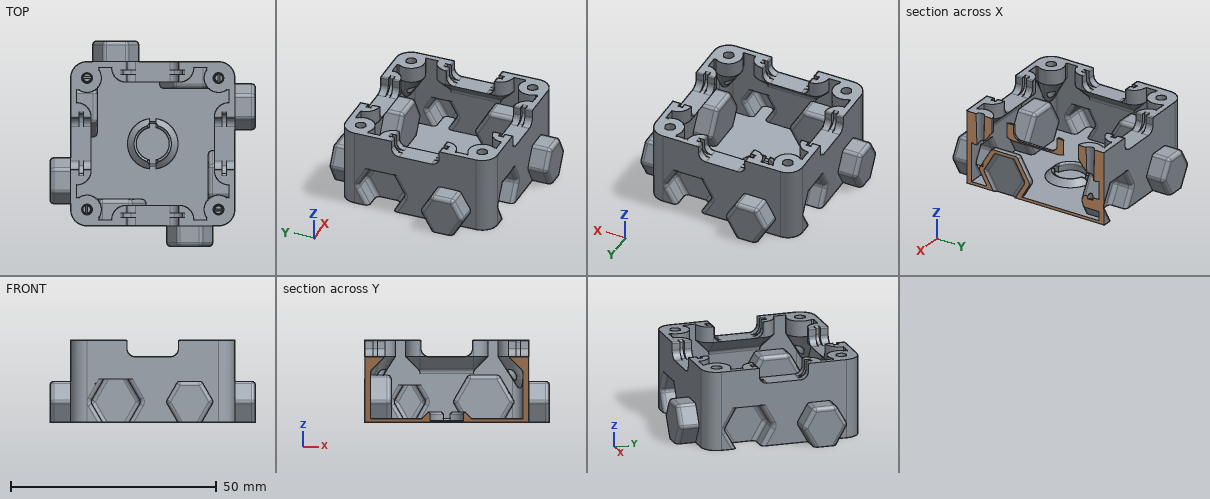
import cadquery as cq
import math

BOX_SIZE = 40.0
BOX_HEIGHT = 20.0
CORNER_RADIUS = 4.0
WALL = 1.5
FLOOR = 0.9
HALF_BOX = BOX_SIZE / 2
HALF_CAVITY = HALF_BOX - WALL

RIM_DEPTH = 4.0
LEDGE_Z = BOX_HEIGHT - RIM_DEPTH
NOTCH_HALF_WIDTH = 6.25
NOTCH_FLOOR_RADIUS = 2.0
NOTCH_LIP_RADIUS = 0.3
PAD_DEPTH = 3.5
PAD_CENTER = 6.5
PAD_BLEND_RADIUS = 1.5
GROOVE_EXTRA = 1.0
GROOVE_LIP_RADIUS = 0.5
GROOVE_SETBACK = 2.0
GROOVE_WIDTH = 1.15

POST_CENTER = 16.0
POST_RADIUS = 3.5
POST_WEB = 2.9
POST_WEB_EDGE = POST_CENTER - POST_WEB
POST_WEB_DEPTH = 2.5
POST_TIP_Z = 7.0
POST_TIP_SIZE = 0.25
SCREW_TOP_DIAMETER = 2.6
SCREW_DIAMETER = 1.75
SCREW_DEPTH = 14.0

HEX_OFFSET = 9.0
HEX_Z = 5.0
HEX_ROUND = 1.0
PLUG_APOTHEM = 5.0
PLUG_LENGTH = 5.0
SOCKET_APOTHEM = 5.3
SOCKET_ROOF_Z = 10.5
SOCKET_DEPTH = 5.0
HOLLOW_APOTHEM = 3.4
HOLLOW_ROOF_Z = 9.15
HOLLOW_DEPTH = 5.5
SHELL_APOTHEM = 6.5
SHELL_DEPTH = SOCKET_DEPTH + WALL

RING_BASE_RADIUS = 6.15
RING_TOP_RADIUS = 4.55
RING_LIP = 0.55
RING_HEIGHT = RING_BASE_RADIUS - RING_TOP_RADIUS
RING_BORE_RADIUS = RING_TOP_RADIUS - RING_LIP
RING_SLOT_WIDTH = 1.65
RING_SLOT_FLARE = 0.5
DISH_RADIUS = 5.45
DISH_DEPTH = 0.5


def block(x0, x1, y0, y1, z0, z1):
    return cq.Workplane("XY").box(x1 - x0, y1 - y0, z1 - z0, centered=False).translate((x0, y0, z0))


def on_four_sides(shape):
    """The shape, made for the -Y side, repeated on all four sides."""
    turned = shape
    for quarter in (1, 2, 3):
        turned = turned.union(shape.rotate((0, 0, 0), (0, 0, 1), 90 * quarter))
    return turned


def rounded_box(size, height, radius, z):
    return cq.Workplane("XY").workplane(offset=z).rect(size, size).extrude(height).edges("|Z").fillet(radius)


def hexagon(apothem, x, open_ends=()):
    """Flat-topped hexagon; sides run to a point above (+1) or below (-1) at the open ends."""
    corner = apothem * 2 / math.sqrt(3)
    points = [(x - corner, HEX_Z)]
    for end in (1, -1):
        if end in open_ends:
            points.append((x, HEX_Z + 2 * end * apothem))
        else:
            points.append((x - end * corner / 2, HEX_Z + end * apothem))
            points.append((x + end * corner / 2, HEX_Z + end * apothem))
        if end == 1:
            points.append((x + corner, HEX_Z))
    return points


def prism(points, y_outer, y_inner):
    return cq.Workplane("XZ", origin=(0, y_outer, 0)).polyline(points).close().extrude(y_outer - y_inner)


def hex_plug():
    face = -HALF_BOX - PLUG_LENGTH
    plug = prism(hexagon(PLUG_APOTHEM, HEX_OFFSET, (-1,)), -HALF_CAVITY, face)
    plug = plug.edges("|Y or <Y").fillet(HEX_ROUND)
    return plug.intersect(block(-BOX_SIZE, BOX_SIZE, face, 0, 0, BOX_HEIGHT))


def socket_shell():
    """Wall around a socket, standing into the box."""
    inner = -HALF_BOX + SHELL_DEPTH
    shell = prism(hexagon(SHELL_APOTHEM, -HEX_OFFSET), inner, -HALF_BOX + 0.5)
    return shell.edges("|Y or >Y").fillet(HEX_ROUND)


def hex_recess(apothem, depth, bottom_z, roof_z):
    """Recess running +Y from y = 0, with a rounded end and a flared mouth under a flat roof."""
    pocket = prism(hexagon(apothem, 0, (1, -1)), depth, -0.5)
    pocket = pocket.edges("|Y or >Y").fillet(HEX_ROUND)
    outside = block(-BOX_SIZE, BOX_SIZE, -PLUG_LENGTH, 0, -BOX_SIZE, BOX_SIZE)
    flared = outside.union(pocket)
    reach = HALF_BOX
    mouth = cq.selectors.BoxSelector((-reach, -0.05, -reach), (reach, 0.05, reach))
    flared = flared.edges(mouth).fillet(HEX_ROUND)
    return flared.intersect(block(-HEX_OFFSET, HEX_OFFSET, 0, depth, bottom_z, roof_z))


def socket_cut():
    """Pocket in the outer face that receives a plug."""
    recess = hex_recess(SOCKET_APOTHEM, SOCKET_DEPTH, 0, SOCKET_ROOF_Z)
    return recess.translate((-HEX_OFFSET, -HALF_BOX, 0))


def plug_hollow():
    """Recess that hollows a plug from inside the box."""
    recess = hex_recess(HOLLOW_APOTHEM, HOLLOW_DEPTH, FLOOR, HOLLOW_ROOF_Z)
    return recess.mirror("XZ").translate((HEX_OFFSET, -HALF_CAVITY, 0))


def notch_pad():
    """Pad behind a notch: straight beside the notch, tapering back into the wall below it."""
    apex = LEDGE_Z - PAD_DEPTH
    half_bend = math.radians(22.5)
    tangent = PAD_BLEND_RADIUS * math.tan(half_bend)
    blend_start = tangent * math.sqrt(0.5)
    blend_middle = PAD_BLEND_RADIUS * (1 - math.cos(half_bend))
    blend_middle_z = apex - tangent + PAD_BLEND_RADIUS * math.sin(half_bend)
    section = (
        cq.Workplane("YZ")
        .moveTo(0, BOX_HEIGHT)
        .lineTo(PAD_DEPTH, BOX_HEIGHT)
        .lineTo(PAD_DEPTH, LEDGE_Z)
        .lineTo(blend_start, apex + blend_start)
        .threePointArc((blend_middle, blend_middle_z), (0, apex - tangent))
        .close()
    )
    pad = section.extrude(PAD_CENTER, both=True)
    end = section.toPending().revolve(90, (0, 0, 0), (0, 1, 0)).translate((-PAD_CENTER, 0, 0))
    pad = pad.union(end).union(end.mirror("YZ"))
    return pad.translate((0, -HALF_CAVITY, 0))


def notch_cut(half_width, lip_radius, y_outer, y_inner):
    """U-shaped cut with rounded lips and rounded floor corners."""
    diagonal = 1 - math.sqrt(0.5)
    r = NOTCH_FLOOR_RADIUS
    top = BOX_HEIGHT
    lip = lip_radius * diagonal
    bend = r * diagonal
    profile = (
        cq.Workplane("XZ", origin=(0, y_inner, 0))
        .moveTo(half_width + lip_radius, top)
        .threePointArc((half_width + lip, top - lip), (half_width, top - lip_radius))
        .lineTo(half_width, LEDGE_Z + r)
        .threePointArc((half_width - bend, LEDGE_Z + bend), (half_width - r, LEDGE_Z))
        .lineTo(r - half_width, LEDGE_Z)
        .threePointArc((bend - half_width, LEDGE_Z + bend), (-half_width, LEDGE_Z + r))
        .lineTo(-half_width, top - lip_radius)
        .threePointArc((-half_width - lip, top - lip), (-half_width - lip_radius, top))
        .close()
    )
    return profile.extrude(y_inner - y_outer)


def screw_post():
    """Post in the (-X, -Y) corner, its underside tapering back into the corner."""
    drop = POST_TIP_Z - LEDGE_Z
    tip_size = WALL + POST_TIP_SIZE
    tip_center = tip_size / 2 - HALF_BOX
    shift = tip_center + POST_CENTER
    top = cq.Workplane("XY", origin=(-POST_CENTER, -POST_CENTER, LEDGE_Z))
    post = top.circle(POST_RADIUS).extrude(RIM_DEPTH)
    taper = (
        top.circle(POST_RADIUS)
        .workplane(offset=drop)
        .center(shift, shift)
        .circle(tip_size / 2)
        .loft()
    )
    post = post.union(taper)

    length = HALF_BOX - POST_WEB_EDGE
    x = length / 2 - HALF_BOX
    y = POST_WEB_DEPTH / 2 - HALF_BOX
    web_top = cq.Workplane("XY", origin=(x, y, LEDGE_Z)).rect(length, POST_WEB_DEPTH)
    web_taper = (
        cq.Workplane("XY", origin=(x, y, LEDGE_Z))
        .rect(length, POST_WEB_DEPTH)
        .workplane(offset=drop)
        .center(tip_center - x, tip_center - y)
        .rect(tip_size, tip_size)
        .loft()
    )
    web = web_top.extrude(RIM_DEPTH).union(web_taper)
    mirrored_web = web.mirror("YZ").rotate((0, 0, 0), (0, 0, 1), 90)
    return post.union(web).union(mirrored_web)


def screw_hole():
    """Hole narrowing downwards through a post."""
    cone = cq.Solid.makeCone(
        SCREW_TOP_DIAMETER / 2,
        SCREW_DIAMETER / 2,
        SCREW_DEPTH,
        cq.Vector(-POST_CENTER, -POST_CENTER, BOX_HEIGHT),
        cq.Vector(0, 0, -1),
    )
    return cq.Workplane(cone)


def revolved(points):
    return cq.Workplane("XZ").polyline(points).close().revolve(360, (0, 0, 0), (0, 1, 0))


def floor_ring():
    """Ring with a sloping outer side, standing on the floor."""
    top = FLOOR + RING_HEIGHT
    return revolved([(0, 0), (RING_BASE_RADIUS, 0), (RING_BASE_RADIUS, FLOOR), (RING_TOP_RADIUS, top), (0, top)])


def ring_cut():
    """Round-lipped bore of the ring and the slot that splits it, down to a shallow dish."""
    top = FLOOR + RING_HEIGHT
    bottom = FLOOR - DISH_DEPTH
    lip = RING_LIP * (1 - math.sqrt(0.5))
    bore = (
        cq.Workplane("XZ")
        .moveTo(0, bottom)
        .lineTo(RING_BORE_RADIUS, bottom)
        .lineTo(RING_BORE_RADIUS, top - RING_LIP)
        .threePointArc((RING_BORE_RADIUS + lip, top - lip), (RING_TOP_RADIUS, top))
        .lineTo(0, top)
        .close()
        .revolve(360, (0, 0, 0), (0, 1, 0))
    )
    half = RING_SLOT_WIDTH / 2
    flare = half + RING_SLOT_FLARE
    neck = top - RING_SLOT_FLARE
    slot = (
        cq.Workplane("XZ")
        .polyline([(-half, bottom), (half, bottom), (half, neck), (flare, top), (-flare, top), (-half, neck)])
        .close()
        .extrude(RING_BASE_RADIUS, both=True)
    )
    dish_floor = DISH_RADIUS - DISH_DEPTH
    dish = revolved([(0, bottom), (dish_floor, bottom), (DISH_RADIUS, FLOOR), (DISH_RADIUS, top), (0, top)])
    above_floor = block(-BOX_SIZE, BOX_SIZE, -BOX_SIZE, BOX_SIZE, FLOOR, BOX_HEIGHT)
    slot = slot.intersect(dish.union(above_floor))
    return bore.union(slot)


cavity = rounded_box(2 * HALF_CAVITY, BOX_HEIGHT, CORNER_RADIUS - WALL, FLOOR)
outline = rounded_box(BOX_SIZE, BOX_HEIGHT, CORNER_RADIUS, 0)
fittings = on_four_sides(socket_shell().union(notch_pad()).union(screw_post())).intersect(outline)
body = outline.cut(cavity).union(fittings)
body = body.cut(on_four_sides(socket_cut()))
body = body.union(on_four_sides(hex_plug())).cut(on_four_sides(plug_hollow()))
pad_face = -HALF_CAVITY + PAD_DEPTH
groove_outer = -HALF_BOX + GROOVE_SETBACK
notch = notch_cut(NOTCH_HALF_WIDTH, NOTCH_LIP_RADIUS, -HALF_BOX, pad_face)
groove = notch_cut(
    NOTCH_HALF_WIDTH + GROOVE_EXTRA, GROOVE_LIP_RADIUS, groove_outer, groove_outer + GROOVE_WIDTH
)
body = body.cut(on_four_sides(notch.union(groove)))
body = body.cut(on_four_sides(screw_hole()))
body = body.union(floor_ring()).cut(ring_cut())
result = body